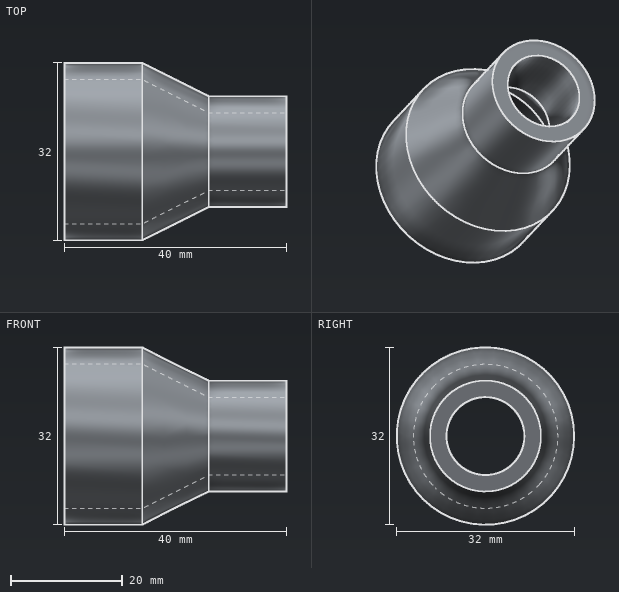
import cadquery as cq

total_length = 40.0
socket_length = 14.0
wide_diameter = 32.0
narrow_diameter = 20.0
wall = 3.0

wide_radius = wide_diameter / 2
narrow_radius = narrow_diameter / 2
cone_start = socket_length
cone_end = total_length - socket_length


def stepped_cone(large_radius, small_radius):
    """Solid of revolution: wide cylinder, cone, then narrow cylinder."""
    return (
        cq.Workplane("XY")
        .moveTo(0, 0)
        .lineTo(0, large_radius)
        .lineTo(cone_start, large_radius)
        .lineTo(cone_end, small_radius)
        .lineTo(total_length, small_radius)
        .lineTo(total_length, 0)
        .close()
        .revolve(360, (0, 0, 0), (1, 0, 0))
    )


outer_body = stepped_cone(wide_radius, narrow_radius)
bore = stepped_cone(wide_radius - wall, narrow_radius - wall)

result = outer_body.cut(bore)